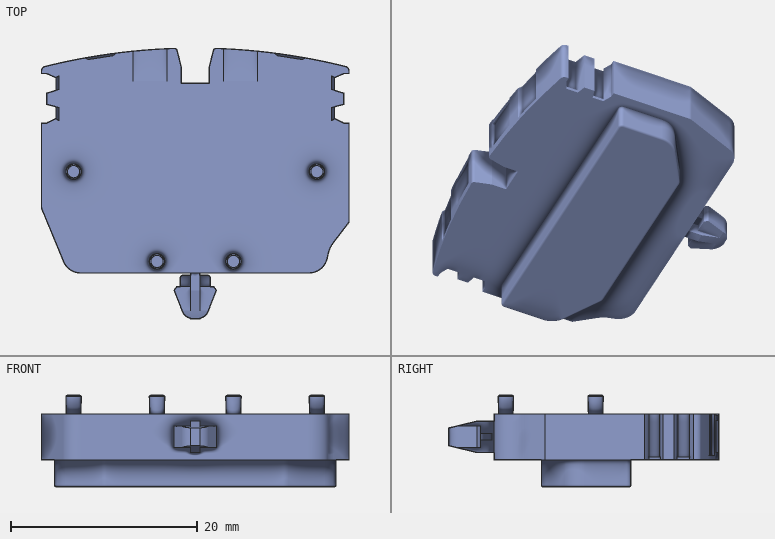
import cadquery as cq
import math


body_width = 33.0
body_height = 4.95
half_width = body_width / 2
crown_radius = 66.7
crown_apex_y = 24.15
crown_corner_radius = 0.5
bottom_corner_radius = 2.0
left_bevel_top_y = 6.95
left_bevel_foot_x = -13.62
left_bevel_radius = 0.6
right_foot_x = 13.79
right_bend = (14.43, 2.75)
right_bend_radius = 3.0
right_bevel_top_y = 5.46

slot_half_width = 1.48
slot_floor_y = 20.37
slot_flare_y = 22.06
slot_mouth_half_width = 2.0
slot_lip_radius = 0.35

tooth_tip_x = 15.95
notch_floor_x = 14.63
ledge_x = 14.96
ledge_height = 0.33
upper_notch_top = 21.4
upper_notch_floor = (21.16, 19.7)
upper_notch_lip = 20.96
tooth_span = (19.3, 18.1)
lower_notch_floor = (17.75, 16.36)
lower_notch_lip = 16.58
lower_notch_bottom = 16.1

window_inner_x = 3.04
window_outer_x = 6.66
window_start_y = 20.6
window_slope_depth = 0.2
window_flat_y = 23.8
window_flat_z = (0.79, 4.23)
label_inner_x = 8.45
label_outer_x = 11.85
label_end_run = 0.4
label_depth = 0.25
label_floor_z = 0.45

base_height = 2.9
base_half_width = 15.1
base_front_y = 5.06
base_back_y = 14.66
base_bevel_x = 9.75
base_bevel_y = 8.3
base_back_radius = 0.45
base_side_radius = 2.4
base_front_radius = 1.0
base_edge_radius = 0.22

pin_height = 2.0
pin_root_radius = 0.79
pin_top_radius = 0.84
pin_tip_radius = 0.66
pin_tip_height = 0.12
pin_positions = [(-13.05, 10.88), (13.05, 10.88), (-4.1, 1.25), (4.1, 1.25)]

clip_length = 4.9
clip_mid_z = body_height / 2
web_half_width = 0.5
web_half_height = 1.68
web_taper_y = -1.9
clip_tip_half_height = 0.95
head_half_height = 1.16
head_back_y = -1.45
head_shoulder_y = -1.85
head_half_width = 2.27
head_back_half_width = 2.0
head_tip_half_width = 1.08
head_tip_radius = 1.3
arm_half_width = 1.62
arm_half_height = 0.35
arm_start_y = -0.22
arm_corner_radius = 0.3

overlap = 1.0


def prism(points, z_low, z_high):
    return cq.Workplane("XY").workplane(offset=z_low).polyline(points).close().extrude(z_high - z_low)


def block(x_range, y_range, z_range):
    x_low, x_high = x_range
    y_low, y_high = y_range
    corners = [(x_low, y_low), (x_high, y_low), (x_high, y_high), (x_low, y_high)]
    return prism(corners, *z_range)


def crown_y(x):
    """Height of the crowned edge at a given x."""
    return crown_apex_y - crown_radius + math.sqrt(crown_radius**2 - x**2)


def round_upright_edge(solid, x, y, radius):
    """Fillet the vertical edge that passes nearest to (x, y)."""
    nearest = cq.selectors.NearestToPointSelector((x, y, body_height / 2))
    return solid.edges("|Z").edges(nearest).fillet(radius)


def both_sides(solid):
    return solid.union(solid.mirror("YZ"))


def body_plate():
    crown_edge_y = crown_y(half_width)
    plate = (
        cq.Workplane("XY")
        .moveTo(-half_width, crown_edge_y)
        .threePointArc((0, crown_apex_y), (half_width, crown_edge_y))
        .lineTo(half_width, right_bevel_top_y)
        .lineTo(*right_bend)
        .lineTo(right_foot_x, 0)
        .lineTo(left_bevel_foot_x, 0)
        .lineTo(-half_width, left_bevel_top_y)
        .close()
        .extrude(body_height)
    )
    rounds = [
        (-half_width, crown_edge_y, crown_corner_radius),
        (half_width, crown_edge_y, crown_corner_radius),
        (*right_bend, right_bend_radius),
        (right_foot_x, 0, bottom_corner_radius),
        (left_bevel_foot_x, 0, bottom_corner_radius),
        (-half_width, left_bevel_top_y, left_bevel_radius),
    ]
    for x, y, radius in rounds:
        plate = round_upright_edge(plate, x, y, radius)
    return plate


def cut_centre_slot(plate):
    flare = (slot_mouth_half_width - slot_half_width) / (crown_apex_y - slot_flare_y)
    outer_y = crown_apex_y + overlap
    outer_half_width = slot_mouth_half_width + flare * overlap
    right_half = [
        (slot_half_width, slot_floor_y),
        (slot_half_width, slot_flare_y),
        (outer_half_width, outer_y),
    ]
    left_half = [(-x, y) for x, y in reversed(right_half)]
    plate = plate.cut(prism(right_half + left_half, 0, body_height))
    for side in (-1, 1):
        lip_x = side * slot_mouth_half_width
        plate = round_upright_edge(plate, lip_x, crown_y(lip_x), slot_lip_radius)
    return plate


def side_notches():
    outside_x = half_width + overlap
    outline = [
        (outside_x, upper_notch_top),
        (tooth_tip_x, upper_notch_top),
        (ledge_x, upper_notch_lip),
        (notch_floor_x, upper_notch_floor[0]),
        (notch_floor_x, upper_notch_floor[1]),
        (tooth_tip_x, tooth_span[0]),
        (tooth_tip_x, tooth_span[1]),
        (notch_floor_x, lower_notch_floor[0]),
        (notch_floor_x, lower_notch_floor[1]),
        (ledge_x, lower_notch_lip),
        (tooth_tip_x, lower_notch_bottom),
        (outside_x, lower_notch_bottom),
    ]
    ledge = block((notch_floor_x, ledge_x), (lower_notch_bottom, upper_notch_top), (0, ledge_height))
    return both_sides(prism(outline, 0, body_height).cut(ledge))


def window_recesses():
    end_y = crown_apex_y + overlap
    end_depth = window_slope_depth * (end_y - window_start_y) / (crown_apex_y - window_start_y)
    slope = (
        cq.Workplane("YZ")
        .workplane(offset=window_inner_x)
        .polyline([(window_start_y, body_height), (end_y, body_height), (end_y, body_height - end_depth)])
        .close()
        .extrude(window_outer_x - window_inner_x)
    )
    flat = block((window_inner_x, window_outer_x), (window_flat_y, end_y), window_flat_z)
    return both_sides(slope.union(flat))


def label_recesses():
    floor_inner_x = label_inner_x + label_end_run
    floor_outer_x = label_outer_x - label_end_run
    outline = [
        (label_inner_x, crown_y(label_inner_x)),
        (floor_inner_x, crown_y(floor_inner_x) - label_depth),
        (floor_outer_x, crown_y(floor_outer_x) - label_depth),
        (label_outer_x, crown_y(label_outer_x)),
        (label_outer_x, crown_apex_y),
        (label_inner_x, crown_apex_y),
    ]
    return both_sides(prism(outline, label_floor_z, body_height))


def raised_base():
    right_half = [
        (base_bevel_x, base_front_y),
        (base_half_width, base_bevel_y),
        (base_half_width, base_back_y),
    ]
    left_half = [(-x, y) for x, y in reversed(right_half)]
    base = prism(right_half + left_half, -base_height, 0)
    radii = (base_front_radius, base_side_radius, base_back_radius)
    for (x, y), radius in zip(right_half, radii):
        for side in (-1, 1):
            base = round_upright_edge(base, side * x, y, radius)
    return base.faces("<Z").edges().fillet(base_edge_radius)


def locating_pin(x, y):
    shoulder_z = pin_height - pin_tip_height
    half_profile = [
        (0, -overlap),
        (pin_root_radius, -overlap),
        (pin_root_radius, 0),
        (pin_top_radius, shoulder_z),
        (pin_tip_radius, pin_height),
        (0, pin_height),
    ]
    pin = cq.Workplane("XZ").polyline(half_profile).close().revolve(360, (0, 0), (0, 1))
    return pin.translate((x, y, body_height))


def centred_heights(half_height):
    return clip_mid_z - half_height, clip_mid_z + half_height


def snap_clip():
    web = block((-web_half_width, web_half_width), (-clip_length, overlap), centred_heights(web_half_height))

    arms = block((-arm_half_width, arm_half_width), (head_shoulder_y, arm_start_y),
                 centred_heights(arm_half_height))
    arms = arms.edges("|Z and >Y").fillet(arm_corner_radius)

    right_half = [
        (head_tip_half_width, -clip_length),
        (head_half_width, head_shoulder_y),
        (head_back_half_width, head_back_y),
    ]
    left_half = [(-x, y) for x, y in reversed(right_half)]
    head = prism(right_half + left_half, *centred_heights(head_half_height))
    head = head.edges("|Z and <Y").fillet(head_tip_radius)

    upper_half = [
        (overlap, web_half_height),
        (web_taper_y, web_half_height),
        (-clip_length, clip_tip_half_height),
    ]
    lower_half = [(y, -z) for y, z in reversed(upper_half)]
    taper = (
        cq.Workplane("YZ")
        .polyline(upper_half + lower_half)
        .close()
        .extrude(head_half_width, both=True)
        .translate((0, 0, clip_mid_z))
    )
    return web.union(arms).union(head).intersect(taper)


result = cut_centre_slot(body_plate())
for recess in (side_notches(), window_recesses(), label_recesses()):
    result = result.cut(recess)
result = result.union(raised_base()).union(snap_clip())
for pin_x, pin_y in pin_positions:
    result = result.union(locating_pin(pin_x, pin_y))